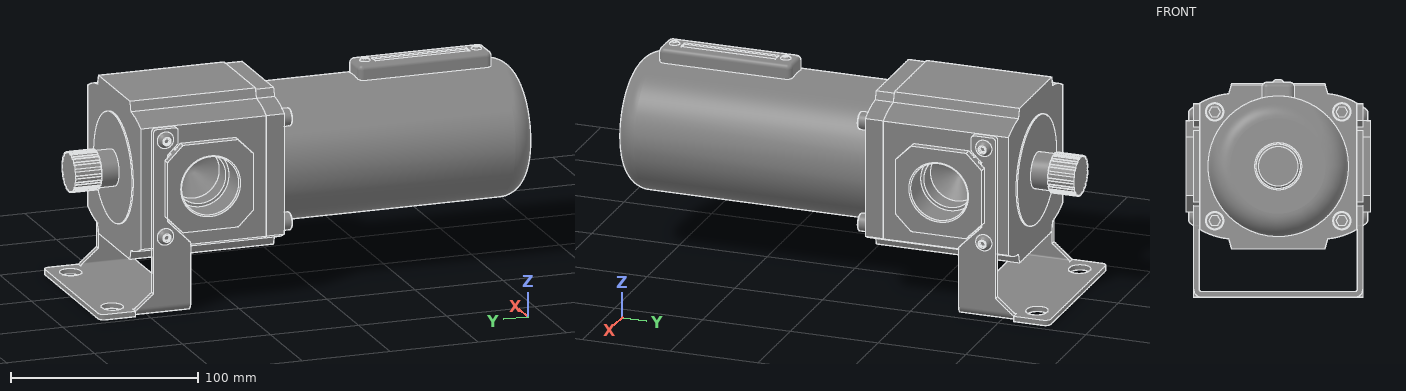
import math

import cadquery as cq


HEAD_BACK_Y = 37.0
HEAD_FRONT_Y = -34.2
HEAD_HALF_WIDTH = 42.2
HEAD_SIDE_HALF_HEIGHT = 33.7
SHOULDER_MID = (34.8, 37.0)
SHOULDER_TOP = (26.5, 39.0)
RIB_HALF_WIDTH = 25.0
HEAD_HALF_HEIGHT = 44.3

FLANGE_FRONT_Y = -44.5
FLANGE_SIDE_INSET = 0.3
FLANGE_TOP_Z = 43.5

BOWL_RADIUS = 37.5
BOWL_END_Y = -189.8
BOWL_END_FILLET = 12.0
PLUG_COLLAR_RADIUS = 12.5
PLUG_COLLAR_LENGTH = 0.8
PLUG_RADIUS = 11.8
PLUG_END_Y = -194.7
PLUG_CHAMFER = 1.3

DISC_RADIUS = 30.5
DISC_BACK_Y = 37.9
STEM_RADIUS = 10.0
KNOB_RADIUS = 11.0
KNOB_FRONT_Y = 48.0
KNOB_BACK_Y = 62.8
KNOB_GROOVE_COUNT = 18
KNOB_GROOVE_WIDTH = 1.5
KNOB_GROOVE_DEPTH = 0.5

PORT_PAD_X = 49.5
PORT_PAD_SIZE = 49.0
PORT_PAD_CHAMFER = 8.8
PORT_NECK_SIZE = 42.2
PORT_NECK_CHAMFER = 2.0
PORT_RADIUS = 16.2
PORT_MOUTH_CHAMFER = 0.8
PORT_DEPTH = 16.2
PORT_PILOT_RADIUS = 14.5
PORT_PILOT_LENGTH = 10.3
PORT_CONE_DEPTH = 8.8

CAP_X = 34.0
CAP_Z = 29.0
CAP_RADIUS = 5.0
CAP_END_Y = -50.5
CAP_CHAMFER = 0.5
CAP_SOCKET_ACROSS_CORNERS = 6.2
CAP_SOCKET_DEPTH = 2.5

GAUGE_HALF_WIDTH = 8.8
GAUGE_BACK_Y = -99.0
GAUGE_FRONT_Y = -174.8
GAUGE_BASE_Z = 25.8
GAUGE_TOP_Z = 45.0
GAUGE_CORNER_RADIUS = 3.0
GAUGE_TOP_FILLET = 2.8
WINDOW_WIDTH = 5.7
WINDOW_BACK_Y = -110.2
WINDOW_FRONT_Y = -164.0
WINDOW_DEPTH = 0.8
GAUGE_SCREW_YS = (-105.3, -168.7)
GAUGE_SCREW_RADIUS = 2.8
GAUGE_SCREW_TOP_RADIUS = 1.5
GAUGE_SCREW_HEIGHT = 1.3
GAUGE_SOCKET_ACROSS_CORNERS = 2.3
GAUGE_SOCKET_DEPTH = 0.8

SHEET = 3.0
BRACKET_OUTER_X = HEAD_HALF_WIDTH + SHEET
BRACKET_TOP_Z = 33.5
BRACKET_BOTTOM_Z = -70.0
BEND_OUTER_RADIUS = 4.5
LEG_BACK_Y = 31.0
LEG_FRONT_Y = 9.8
TAB_FRONT_Y = 17.0
TAB_BOTTOM_Z = 24.5
RECESS_Y = 23.0
RECESS_TOP_Z = TAB_BOTTOM_Z - (RECESS_Y - TAB_FRONT_Y)
LEG_SHOULDER_Z = -31.7
RECESS_BOTTOM_Z = LEG_SHOULDER_Z + RECESS_Y - LEG_FRONT_Y
LEG_CORNER_RADIUS = 1.8
GUSSET_TOP_Z = -58.2
PLATE_FRONT_Y = 41.2
PLATE_BACK_Y = 61.3
PLATE_CORNER_RADIUS = 3.0
SLOT_X = 33.0
SLOT_Y = 50.0
SLOT_LENGTH = 13.0
SLOT_WIDTH = 11.5

BUTTON_Y = 24.2
BUTTON_Z = 27.0
BUTTON_RADIUS = 4.6
BUTTON_TOP_RADIUS = 2.3
BUTTON_HEIGHT = 2.5
BUTTON_SOCKET_ACROSS_CORNERS = 3.5
BUTTON_SOCKET_DEPTH = 1.5


def plane_facing(direction, origin):
    """Plane at origin with its normal along direction; local x is parallel to X or Y."""
    local_x = (0, 1, 0) if direction[0] else (1, 0, 0)
    return cq.Plane(origin=origin, xDir=local_x, normal=direction)


def sketch_facing(direction, origin):
    """Workplane whose extrusions go along direction."""
    return cq.Workplane(plane_facing(direction, origin))


def cylinder_y(radius, start_y, end_y, x=0, z=0):
    """Cylinder along Y from start_y toward a smaller end_y."""
    return sketch_facing((0, -1, 0), (x, start_y, z)).circle(radius).extrude(start_y - end_y)


def domed_head(direction, origin, radius, top_radius, height, socket_size, socket_depth):
    """Domed screw head with a hexagon socket, standing on origin along direction."""
    sphere_center = (radius**2 - top_radius**2 - height**2) / (2 * height)
    sphere_radius = math.hypot(radius, sphere_center)
    mid_height = height / 2
    mid_radius = math.sqrt(sphere_radius**2 - (mid_height + sphere_center) ** 2)
    head = (
        cq.Workplane("XZ")
        .moveTo(0, 0)
        .lineTo(radius, 0)
        .threePointArc((mid_radius, mid_height), (top_radius, height))
        .lineTo(0, height)
        .close()
        .revolve(360, (0, 0, 0), (0, 1, 0))
        .faces(">Z")
        .workplane()
        .polygon(6, socket_size)
        .cutBlind(-socket_depth)
    )
    return cq.Workplane(head.val().moved(cq.Location(plane_facing(direction, origin))))


def block_section(start_y, end_y, half_width, top_z):
    """Block along Y with curved shoulders and a raised rib on top and bottom."""
    side_z = HEAD_SIDE_HALF_HEIGHT
    mid_x, mid_z = SHOULDER_MID
    step_x, step_z = SHOULDER_TOP
    return (
        sketch_facing((0, -1, 0), (0, start_y, 0))
        .moveTo(half_width, -side_z)
        .lineTo(half_width, side_z)
        .threePointArc((mid_x, mid_z), (step_x, step_z))
        .lineTo(RIB_HALF_WIDTH, top_z)
        .lineTo(-RIB_HALF_WIDTH, top_z)
        .lineTo(-step_x, step_z)
        .threePointArc((-mid_x, mid_z), (-half_width, side_z))
        .lineTo(-half_width, -side_z)
        .threePointArc((-mid_x, -mid_z), (-step_x, -step_z))
        .lineTo(-RIB_HALF_WIDTH, -HEAD_HALF_HEIGHT)
        .lineTo(RIB_HALF_WIDTH, -HEAD_HALF_HEIGHT)
        .lineTo(step_x, -step_z)
        .threePointArc((mid_x, -mid_z), (half_width, -side_z))
        .close()
        .extrude(start_y - end_y)
    )


def make_bowl():
    bowl = cylinder_y(BOWL_RADIUS, FLANGE_FRONT_Y, BOWL_END_Y).faces("<Y").edges().fillet(BOWL_END_FILLET)
    collar = cylinder_y(PLUG_COLLAR_RADIUS, BOWL_END_Y, BOWL_END_Y - PLUG_COLLAR_LENGTH)
    plug = cylinder_y(PLUG_RADIUS, BOWL_END_Y, PLUG_END_Y).faces("<Y").edges().chamfer(PLUG_CHAMFER)
    return bowl.union(collar).union(plug)


def make_gauge():
    length = GAUGE_BACK_Y - GAUGE_FRONT_Y
    center_y = (GAUGE_BACK_Y + GAUGE_FRONT_Y) / 2
    gauge = (
        cq.Workplane("XY", origin=(0, center_y, GAUGE_BASE_Z))
        .rect(2 * GAUGE_HALF_WIDTH, length)
        .extrude(GAUGE_TOP_Z - GAUGE_BASE_Z)
        .edges("|Z")
        .fillet(GAUGE_CORNER_RADIUS)
        .faces(">Z")
        .edges()
        .fillet(GAUGE_TOP_FILLET)
    )
    window = (
        cq.Workplane("XY", origin=(0, (WINDOW_BACK_Y + WINDOW_FRONT_Y) / 2, GAUGE_TOP_Z - WINDOW_DEPTH))
        .rect(WINDOW_WIDTH, WINDOW_BACK_Y - WINDOW_FRONT_Y)
        .extrude(WINDOW_DEPTH)
    )
    gauge = gauge.cut(window)
    for y in GAUGE_SCREW_YS:
        screw = domed_head(
            (0, 0, 1), (0, y, GAUGE_TOP_Z), GAUGE_SCREW_RADIUS, GAUGE_SCREW_TOP_RADIUS,
            GAUGE_SCREW_HEIGHT, GAUGE_SOCKET_ACROSS_CORNERS, GAUGE_SOCKET_DEPTH,
        )
        gauge = gauge.union(screw)
    return gauge


def make_knob():
    knob = cylinder_y(KNOB_RADIUS, KNOB_BACK_Y, KNOB_FRONT_Y)
    grooves = (
        sketch_facing((0, -1, 0), (0, KNOB_BACK_Y, 0))
        .polarArray(KNOB_RADIUS, 0, 360, KNOB_GROOVE_COUNT)
        .rect(2 * KNOB_GROOVE_DEPTH, KNOB_GROOVE_WIDTH)
        .extrude(KNOB_BACK_Y - KNOB_FRONT_Y)
    )
    stem = cylinder_y(STEM_RADIUS, KNOB_FRONT_Y, HEAD_BACK_Y)
    disc = cylinder_y(DISC_RADIUS, DISC_BACK_Y, HEAD_BACK_Y)
    return knob.cut(grooves).union(stem).union(disc)


def make_cap_screw(x, z):
    return (
        cylinder_y(CAP_RADIUS, FLANGE_FRONT_Y, CAP_END_Y, x, z)
        .faces("<Y")
        .edges()
        .chamfer(CAP_CHAMFER)
        .faces("<Y")
        .workplane()
        .polygon(6, CAP_SOCKET_ACROSS_CORNERS)
        .cutBlind(-CAP_SOCKET_DEPTH)
    )


def make_port_pad(side):
    """Octagonal neck and pad on the side where X has the sign of side."""
    neck = (
        sketch_facing((side, 0, 0), (side * HEAD_HALF_WIDTH, 0, 0))
        .rect(PORT_NECK_SIZE, PORT_NECK_SIZE)
        .extrude(BRACKET_OUTER_X - HEAD_HALF_WIDTH)
        .edges("|X")
        .chamfer(PORT_NECK_CHAMFER)
    )
    pad = (
        sketch_facing((side, 0, 0), (side * BRACKET_OUTER_X, 0, 0))
        .rect(PORT_PAD_SIZE, PORT_PAD_SIZE)
        .extrude(PORT_PAD_X - BRACKET_OUTER_X)
        .edges("|X")
        .chamfer(PORT_PAD_CHAMFER)
    )
    return neck.union(pad)


def make_port_hole(side):
    """Chamfered round bore with a narrower pilot hole that ends in a cone."""
    floor = PORT_PAD_X - PORT_DEPTH
    pilot_end = floor - PORT_PILOT_LENGTH
    profile = [
        (pilot_end - PORT_CONE_DEPTH, 0),
        (pilot_end, PORT_PILOT_RADIUS),
        (floor, PORT_PILOT_RADIUS),
        (floor, PORT_RADIUS),
        (PORT_PAD_X - PORT_MOUTH_CHAMFER, PORT_RADIUS),
        (PORT_PAD_X, PORT_RADIUS + PORT_MOUTH_CHAMFER),
        (PORT_PAD_X, 0),
    ]
    outline = [(side * x, radius) for x, radius in profile]
    return cq.Workplane("XY").polyline(outline).close().revolve(360, (0, 0, 0), (1, 0, 0))


def make_housing():
    housing = block_section(HEAD_BACK_Y, HEAD_FRONT_Y, HEAD_HALF_WIDTH, HEAD_HALF_HEIGHT)
    flange = block_section(HEAD_FRONT_Y, FLANGE_FRONT_Y, HEAD_HALF_WIDTH - FLANGE_SIDE_INSET, FLANGE_TOP_Z)
    housing = housing.union(flange).union(make_bowl()).union(make_gauge()).union(make_knob())
    for x in (-CAP_X, CAP_X):
        for z in (-CAP_Z, CAP_Z):
            housing = housing.union(make_cap_screw(x, z))
    for side in (-1, 1):
        housing = housing.union(make_port_pad(side)).cut(make_port_hole(side))
    return housing


def make_channel():
    """Bent U-shaped sheet, before the legs are trimmed."""
    length = PLATE_FRONT_Y - LEG_FRONT_Y
    height = BRACKET_TOP_Z - BRACKET_BOTTOM_Z
    mid_z = (BRACKET_TOP_Z + BRACKET_BOTTOM_Z) / 2

    def bent_block(half_width, lift, radius):
        return (
            cq.Workplane("XY")
            .box(2 * half_width, length, height)
            .edges("|Y and <Z")
            .fillet(radius)
            .translate((0, LEG_FRONT_Y + length / 2, mid_z + lift))
        )

    outside = bent_block(BRACKET_OUTER_X, 0, BEND_OUTER_RADIUS)
    inside = bent_block(HEAD_HALF_WIDTH, SHEET, BEND_OUTER_RADIUS - SHEET)
    return outside.cut(inside)


def make_leg_outline():
    """Side outline of the legs, as a block across the full width of the bracket."""
    plate_top_z = BRACKET_BOTTOM_Z + SHEET
    points = [
        (LEG_BACK_Y, BRACKET_TOP_Z),
        (TAB_FRONT_Y, BRACKET_TOP_Z),
        (TAB_FRONT_Y, TAB_BOTTOM_Z),
        (RECESS_Y, RECESS_TOP_Z),
        (RECESS_Y, RECESS_BOTTOM_Z),
        (LEG_FRONT_Y, LEG_SHOULDER_Z),
        (LEG_FRONT_Y, BRACKET_BOTTOM_Z),
        (PLATE_FRONT_Y, BRACKET_BOTTOM_Z),
        (PLATE_FRONT_Y, plate_top_z),
        (LEG_BACK_Y, GUSSET_TOP_Z),
    ]
    rounded_corners = [points[0], points[1], points[5]]
    block = cq.Workplane("YZ").polyline(points).close().extrude(BRACKET_OUTER_X, both=True)
    for y, z in rounded_corners:
        block = block.edges(cq.NearestToPointSelector((0, y, z))).fillet(LEG_CORNER_RADIUS)
    return block


def make_bracket():
    depth = PLATE_BACK_Y - PLATE_FRONT_Y
    plate = (
        cq.Workplane("XY", origin=(0, PLATE_FRONT_Y + depth / 2, BRACKET_BOTTOM_Z))
        .rect(2 * BRACKET_OUTER_X, depth)
        .extrude(SHEET)
        .edges("|Z and >Y")
        .fillet(PLATE_CORNER_RADIUS)
    )
    slots = (
        cq.Workplane("XY", origin=(0, SLOT_Y, BRACKET_BOTTOM_Z))
        .pushPoints([(-SLOT_X, 0), (SLOT_X, 0)])
        .slot2D(SLOT_LENGTH, SLOT_WIDTH)
        .extrude(SHEET)
    )
    return make_channel().intersect(make_leg_outline()).union(plate.cut(slots))


def make_bracket_screw(side, z):
    """Button head seated on the outer face of a bracket leg."""
    return domed_head(
        (side, 0, 0), (side * BRACKET_OUTER_X, BUTTON_Y, z), BUTTON_RADIUS, BUTTON_TOP_RADIUS,
        BUTTON_HEIGHT, BUTTON_SOCKET_ACROSS_CORNERS, BUTTON_SOCKET_DEPTH,
    )


housing = make_housing()
bracket = make_bracket()
bracket_screws = [make_bracket_screw(side, z).val() for side in (-1, 1) for z in (-BUTTON_Z, BUTTON_Z)]

result = cq.Compound.makeCompound([housing.val(), bracket.val(), *bracket_screws])